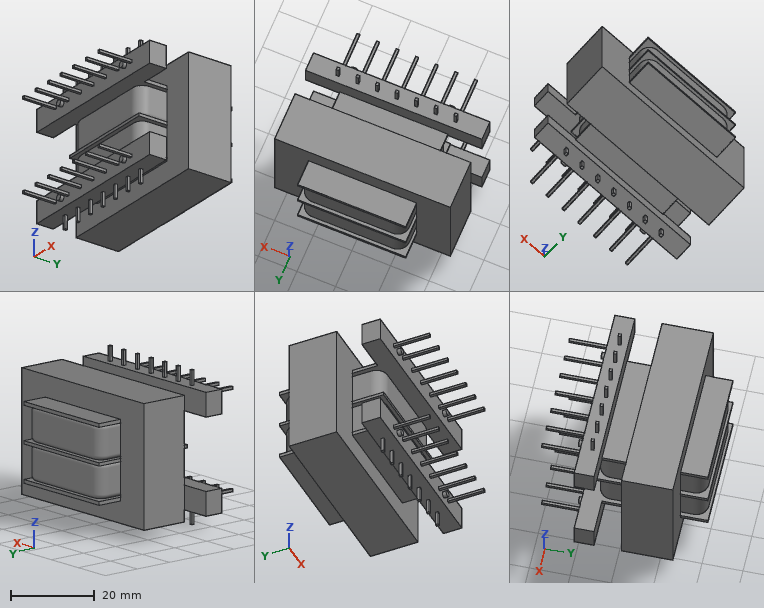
import cadquery as cq

core_width = 45.55
core_depth = 12.57
core_height = 31.23
window_width = 28.03

flange_thickness = 0.9
middle_flange_thickness = 0.82
flange_back = 12.95
middle_flange_front = -14.55
winding_top = 9.15
window_height = 2 * (winding_top + flange_thickness)

winding_inset = 0.5
winding_corner_radius = 3.05
winding_edge_radius = 1.1

rail_length = 45.7
rail_back = -12.95
rail_depth = 4.9
rail_height = 6.13
rail_front = rail_back - rail_depth
rail_outer = winding_top + rail_height

pin_count = 7
pin_pitch = 5.07
pin_size = 0.75
pin_embed = 0.9
front_pin_tip = -27.35
front_pin_height = 12.6
end_pin_span = 38.1
end_pin_tip = end_pin_span / 2
end_pin_y = -14.95
peg_diameter = 1.6
peg_length = 1.0
outermost_pin_x = (pin_count - 1) / 2 * pin_pitch
peg_x = outermost_pin_x - pin_pitch / 2


def block(x_range, y_range, z_range):
    """Box spanning the given lower and upper limits on each axis."""
    size = [upper - lower for lower, upper in (x_range, y_range, z_range)]
    corner = (x_range[0], y_range[0], z_range[0])
    return cq.Workplane("XY").box(*size, centered=False).translate(corner)


def centered(length):
    """Limits of a length centred on the origin."""
    return (-length / 2, length / 2)


def make_core():
    frame = cq.Workplane("XY").box(core_width, core_depth, core_height)
    window = cq.Workplane("XY").box(window_width, core_depth, window_height)
    return frame.cut(window)


def make_middle_flange():
    return block(
        centered(window_width),
        (middle_flange_front, flange_back),
        centered(middle_flange_thickness),
    )


def make_winding():
    """Upper winding, solid through to the core leg it surrounds."""
    winding = block(
        centered(window_width - 2 * winding_inset),
        (middle_flange_front + winding_inset, flange_back - winding_inset),
        (middle_flange_thickness / 2, winding_top),
    )
    winding = winding.edges("|Z").fillet(winding_corner_radius)
    return winding.faces("<Z or >Z").edges().fillet(winding_edge_radius)


def make_outer_flange():
    return block(
        centered(window_width),
        (rail_back, flange_back),
        (winding_top, winding_top + flange_thickness),
    )


def make_rail():
    return block(
        centered(rail_length),
        (rail_front, rail_back),
        (winding_top, rail_outer),
    )


def make_pins():
    """Row of forward pins and row of end pins, each rooted in the upper rail."""
    half = pin_size / 2
    pins = cq.Workplane("XY")
    for index in range(pin_count):
        x = index * pin_pitch - outermost_pin_x
        across = (x - half, x + half)
        forward_pin = block(
            across,
            (front_pin_tip, rail_front + pin_embed),
            (front_pin_height - half, front_pin_height + half),
        )
        end_pin = block(
            across,
            (end_pin_y - half, end_pin_y + half),
            (rail_outer - pin_embed, end_pin_tip),
        )
        pins = pins.add(forward_pin).add(end_pin)
    return pins.combine()


def make_pegs():
    return (
        cq.Workplane("XZ", origin=(0, rail_front, front_pin_height))
        .pushPoints([(-peg_x, 0), (peg_x, 0)])
        .circle(peg_diameter / 2)
        .extrude(peg_length)
    )


upper_half = (
    make_outer_flange()
    .union(make_winding())
    .union(make_rail())
    .union(make_pins())
    .union(make_pegs())
)
lower_half = upper_half.mirror("XY")
result = make_core().union(make_middle_flange()).union(upper_half).union(lower_half)